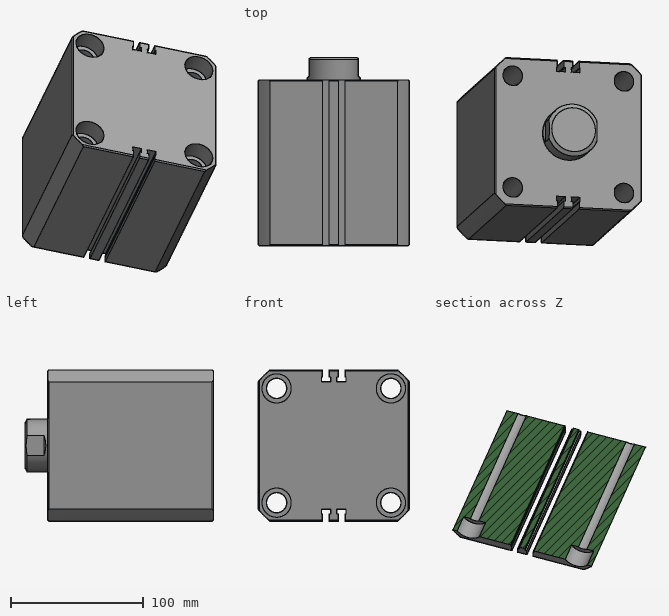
import cadquery as cq
import math

total_length = 142.0
rod_projection = 17.0
body_length = total_length - rod_projection
body_width = 114.0
half_width = body_width / 2

end_chamfer = 1.0
corner_cut = 9.1
corner_radius = math.hypot(half_width, half_width - corner_cut)

hole_offset = 43.0
hole_diameter = 15.0
counterbore_diameter = 22.0
counterbore_depth = 14.8

slot_depth = 9.0
neck_depth = 5.5
neck_inner = 3.5
neck_width = 5.0
pocket_inner = 2.3
pocket_width = 6.8

rod_diameter = 40.0
rod_radius = rod_diameter / 2
rod_end_chamfer_length = 1.7
rod_end_chamfer_depth = 3.1
across_flats = 37.0
flat_length = 14.2


def make_slot(side, face):
    """T-shaped slot through the housing; side is -1 or 1 in X, face is -1 or 1 in Z."""
    neck = cq.Workplane("XY").box(neck_width, body_length, slot_depth).translate(
        (side * (neck_inner + neck_width / 2), 0, face * (half_width - slot_depth / 2))
    )
    pocket_height = slot_depth - neck_depth
    pocket = cq.Workplane("XY").box(pocket_width, body_length, pocket_height).translate(
        (side * (pocket_inner + pocket_width / 2), 0, face * (half_width - slot_depth + pocket_height / 2))
    )
    return neck.union(pocket)


def make_housing():
    """Square block, centred on the origin, with turned corners and a chamfer round both ends."""
    block = cq.Workplane("XY").box(body_width, body_length, body_width)
    block = block.faces("<Y or >Y").chamfer(end_chamfer)
    corner_envelope = cq.Workplane("XZ").circle(corner_radius).extrude(body_length / 2, both=True)
    block = block.intersect(corner_envelope)

    block = (
        block.faces("<Y")
        .workplane(origin=(0, -body_length / 2, 0))
        .rect(2 * hole_offset, 2 * hole_offset, forConstruction=True)
        .vertices()
        .cboreHole(hole_diameter, counterbore_diameter, counterbore_depth)
    )

    for side in (-1, 1):
        for face in (-1, 1):
            block = block.cut(make_slot(side, face))
    return block


def make_rod():
    """Round rod standing on the +Y end of the housing, with two wrench flats at its free end."""
    rod = (
        cq.Workplane("XZ", origin=(0, body_length / 2, 0))
        .circle(rod_radius)
        .extrude(-rod_projection)
        .faces(">Y")
        .chamfer(rod_end_chamfer_length, rod_end_chamfer_depth)
    )

    tip = body_length / 2 + rod_projection
    flat_end = tip - flat_length
    flat_x = across_flats / 2
    runout = rod_radius - flat_x
    flat_cutter = (
        cq.Workplane("XY")
        .moveTo(flat_x, tip)
        .lineTo(flat_x, flat_end)
        .lineTo(rod_radius, flat_end - runout)
        .lineTo(rod_radius, tip)
        .close()
        .extrude(rod_radius, both=True)
    )
    return rod.cut(flat_cutter).cut(flat_cutter.mirror("YZ"))


housing = make_housing()
rod = make_rod()

result = cq.Compound.makeCompound([housing.val(), rod.val()])